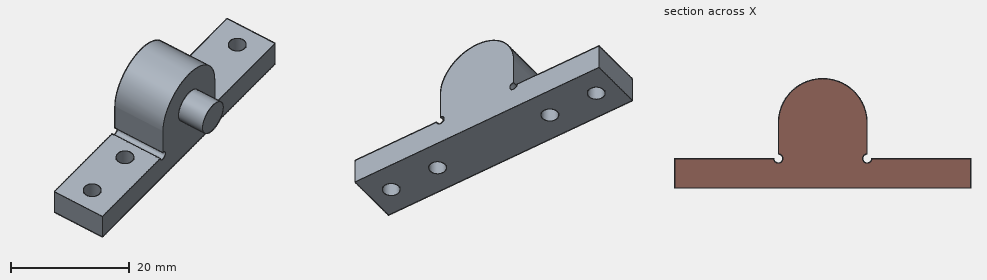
import cadquery as cq

base_length = 50.0
base_width = 10.0
base_height = 5.0

head_radius = 7.5
head_center_z = 11.0

pin_diameter = 6.0
pin_length = 5.0

groove_radius = 0.75

hole_diameter = 3.0
inner_hole_y = 11.5
outer_hole_y = 21.0


def make_base():
    return cq.Workplane("XY").box(
        base_width, base_length, base_height, centered=(True, True, False)
    )


def make_head():
    return (
        cq.Workplane("YZ", origin=(-base_width / 2, 0, 0))
        .moveTo(-head_radius, 0)
        .lineTo(head_radius, 0)
        .lineTo(head_radius, head_center_z)
        .threePointArc((0, head_center_z + head_radius), (-head_radius, head_center_z))
        .close()
        .extrude(base_width)
    )


def make_pin():
    return (
        cq.Workplane("YZ", origin=(base_width / 2, 0, head_center_z))
        .circle(pin_diameter / 2)
        .extrude(pin_length)
    )


def make_grooves():
    return (
        cq.Workplane("YZ", origin=(-base_width / 2, 0, base_height))
        .pushPoints([(-head_radius, 0), (head_radius, 0)])
        .circle(groove_radius)
        .extrude(base_width)
    )


def make_holes():
    hole_ys = (-outer_hole_y, -inner_hole_y, inner_hole_y, outer_hole_y)
    return (
        cq.Workplane("XY")
        .pushPoints([(0, y) for y in hole_ys])
        .circle(hole_diameter / 2)
        .extrude(base_height)
    )


body = make_base().union(make_head()).union(make_pin())
result = body.cut(make_grooves()).cut(make_holes())